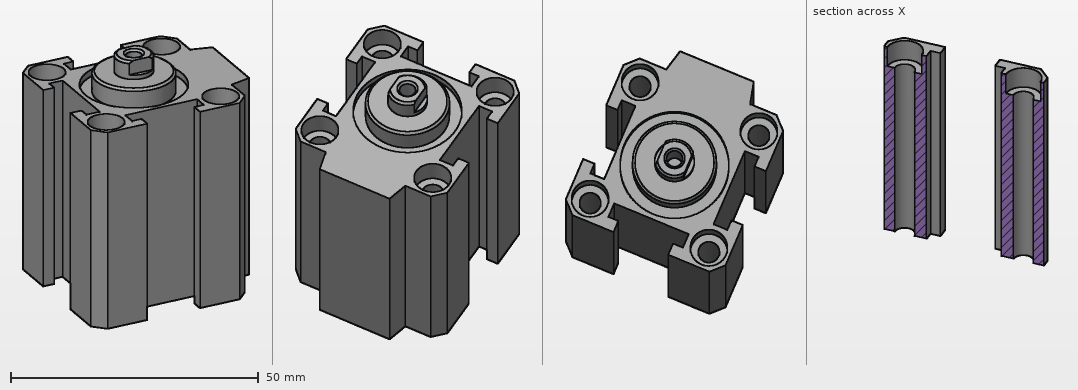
import cadquery as cq

half_width = 17.5
housing_height = 44.0
corner_chamfer = 2.5
tail_y = 22.05
tail_base_half = 9.2
tail_tip_half = 8.05

slot_mouth = 12.0
slot_width = 16.3
slot_lip = 2.5
slot_floor = 12.0

hole_pitch = 26.0
hole_diameter = 4.3
counterbore_diameter = 7.5
counterbore_depth = 4.6

recess_diameter = 22.0
recess_depth = 1.5
boss_diameter = 17.0
boss_projection = 3.0
boss_top = housing_height + boss_projection

overall_height = 51.0
rod_diameter = 8.0
rod_length = 16.0
rod_bottom = overall_height - rod_length
flat_width = 6.0
flat_height = 3.0
bore_diameter = 3.25
bore_depth = 8.0
rim_angle = 90
edge_chamfer = 0.5
bore_rim_diameter = 4.2


def make_profile():
    """Square body with chamfered corners and a tapered tail on its +Y side."""
    square = (
        cq.Workplane("XY")
        .rect(2 * half_width, 2 * half_width)
        .extrude(housing_height)
        .edges("|Z")
        .chamfer(corner_chamfer)
    )
    tail = (
        cq.Workplane("XY")
        .polyline([
            (-tail_base_half, half_width),
            (-tail_tip_half, tail_y),
            (tail_tip_half, tail_y),
            (tail_base_half, half_width),
        ])
        .close()
        .extrude(housing_height)
    )
    return square.union(tail)


def make_slot(angle):
    """T-slot cutter for the -Y side, turned about Z by angle degrees."""
    undercut_y = half_width - slot_lip
    mouth = cq.Workplane("XY").box(
        slot_mouth, half_width - slot_floor, housing_height, centered=(True, False, False)
    )
    undercut = cq.Workplane("XY").box(
        slot_width, undercut_y - slot_floor, housing_height, centered=(True, False, False)
    )
    slot = mouth.translate((0, -half_width, 0)).union(undercut.translate((0, -undercut_y, 0)))
    return slot.rotate((0, 0, 0), (0, 0, 1), angle)


def add_boss(body):
    """Sink the round recess and raise the chamfered guide boss from its floor."""
    floor_z = housing_height - recess_depth
    recess = cq.Workplane("XY", origin=(0, 0, floor_z)).circle(recess_diameter / 2).extrude(recess_depth)
    boss = (
        cq.Workplane("XY", origin=(0, 0, floor_z))
        .circle(boss_diameter / 2)
        .extrude(boss_top - floor_z)
        .faces(">Z")
        .edges()
        .chamfer(edge_chamfer)
    )
    return body.cut(recess).union(boss)


def make_housing():
    body = make_profile()
    for angle in (0, 90, -90):
        body = body.cut(make_slot(angle))
    body = (
        body.faces(">Z")
        .workplane(origin=(0, 0, housing_height))
        .rect(hole_pitch, hole_pitch, forConstruction=True)
        .vertices()
        .cboreHole(hole_diameter, counterbore_diameter, counterbore_depth)
    )
    body = add_boss(body)
    socket = (
        cq.Workplane("XY", origin=(0, 0, rod_bottom))
        .circle(rod_diameter / 2)
        .extrude(rod_length)
    )
    return body.cut(socket)


def make_rod():
    rod = (
        cq.Workplane("XY", origin=(0, 0, rod_bottom))
        .circle(rod_diameter / 2)
        .extrude(rod_length)
        .faces(">Z")
        .edges()
        .chamfer(edge_chamfer)
    )
    flat_cut = (rod_diameter - flat_width) / 2
    for side in (-1, 1):
        cutter = cq.Workplane("XY").box(flat_cut, rod_diameter, flat_height)
        flat_x = side * (flat_width + flat_cut) / 2
        rod = rod.cut(cutter.translate((flat_x, 0, overall_height - flat_height / 2)))
    return (
        rod.faces(">Z")
        .workplane(origin=(0, 0, overall_height))
        .cskHole(bore_diameter, bore_rim_diameter, rim_angle, depth=bore_depth)
    )


housing = make_housing()
rod = make_rod()
result = cq.Compound.makeCompound([housing.val(), rod.val()])